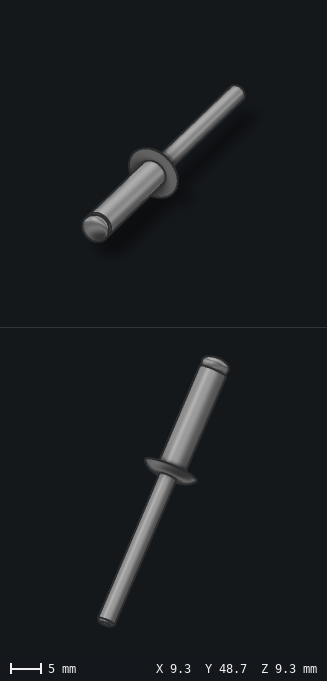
import cadquery as cq
import math

total_length = 48.7

pin_radius = 1.5
pin_chamfer_length = 0.5
pin_chamfer_depth = 0.4

sleeve_radius = 2.4
sleeve_length = 18.05
flange_radius = 4.65
flange_height = 1.2
flange_rim_thickness = 0.1

head_radius = sleeve_radius
head_neck_radius = 1.95
head_tip_height = 1.15
head_neck_height = 1.2

sleeve_end = -sleeve_length
head_equator = sleeve_end - head_neck_height
head_tip = head_equator - head_tip_height
pin_end = head_tip + total_length


def revolve_about_y(profile):
    return profile.close().revolve(360, (0, 0, 0), (0, 1, 0))


def make_pin():
    profile = (
        cq.Workplane("XY")
        .moveTo(0, sleeve_end)
        .lineTo(pin_radius, sleeve_end)
        .lineTo(pin_radius, pin_end - pin_chamfer_length)
        .lineTo(pin_radius - pin_chamfer_depth, pin_end)
        .lineTo(0, pin_end)
    )
    return revolve_about_y(profile)


def make_sleeve():
    profile = (
        cq.Workplane("XY")
        .moveTo(0, sleeve_end)
        .lineTo(sleeve_radius, sleeve_end)
        .lineTo(sleeve_radius, 0)
        .lineTo(flange_radius, 0)
        .lineTo(flange_radius, flange_rim_thickness)
    )
    dome_width = flange_radius - sleeve_radius
    dome_height = flange_height - flange_rim_thickness
    dome_arc_radius = (dome_width**2 + dome_height**2) / (2 * dome_height)
    half_sweep = math.asin(dome_width / dome_arc_radius) / 2
    dome_middle = (
        sleeve_radius + dome_arc_radius * math.sin(half_sweep),
        flange_height - dome_arc_radius * (1 - math.cos(half_sweep)),
    )
    profile = (
        profile.threePointArc(dome_middle, (sleeve_radius, flange_height))
        .lineTo(0, flange_height)
    )
    return revolve_about_y(profile)


def make_head():
    profile = (
        cq.Workplane("XY")
        .moveTo(0, head_tip)
        .ellipseArc(head_radius, head_tip_height, 270, 360, startAtCurrent=True)
        .tangentArcPoint((head_neck_radius, sleeve_end), relative=False)
        .lineTo(0, sleeve_end)
    )
    return revolve_about_y(profile)


result = make_pin().union(make_sleeve()).union(make_head())